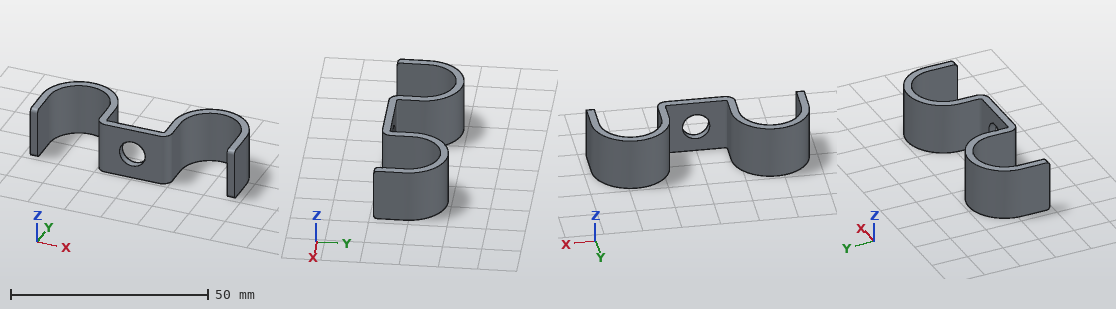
import cadquery as cq

length = 56.0
depth = 18.0
width = 14.0
thickness = 2.0
loop_radius = 10.0
bend_radius = 2.5
end_corner_radius = 1.0
hole_diameter = 7.0

inner_loop_radius = loop_radius - thickness
loop_x = length / 2 - loop_radius
leg_length = depth - loop_radius
web_half_length = loop_x - inner_loop_radius


def block(x_min, x_max, y_min, y_max):
    """Box spanning the strip width, centred on Z = 0."""
    return (
        cq.Workplane("XY")
        .box(x_max - x_min, y_max - y_min, width)
        .translate(((x_min + x_max) / 2, (y_min + y_max) / 2, 0))
    )


def loop(side):
    """Half ring over one pipe; the legs start at Y = 0."""
    return (
        cq.Workplane("XY", origin=(side * loop_x, 0, -width / 2))
        .moveTo(-loop_radius, 0)
        .threePointArc((0, loop_radius), (loop_radius, 0))
        .lineTo(inner_loop_radius, 0)
        .threePointArc((0, inner_loop_radius), (-inner_loop_radius, 0))
        .close()
        .extrude(width)
    )


def outer_leg(side):
    """Free end of the strip with its two corners rounded."""
    inner_face = length / 2 - thickness
    x_min, x_max = sorted((side * inner_face, side * length / 2))
    return block(x_min, x_max, -leg_length, 0).edges("|X and <Y").fillet(end_corner_radius)


def centre_channel():
    """Web and the two inner legs, with concentric inner and outer bends."""
    outer = block(-web_half_length, web_half_length, -leg_length, 0)
    outer = outer.edges("|Z and <Y").fillet(bend_radius)
    inner_half_length = web_half_length - thickness
    inner = block(-inner_half_length, inner_half_length, -leg_length + thickness, 0)
    inner = inner.edges("|Z and <Y").fillet(bend_radius - thickness)
    return outer.cut(inner)


result = centre_channel()
for side in (-1, 1):
    result = result.union(loop(side)).union(outer_leg(side))

screw_hole = (
    cq.Workplane("XZ", origin=(0, -leg_length + thickness, 0))
    .circle(hole_diameter / 2)
    .extrude(thickness)
)
result = result.cut(screw_hole)